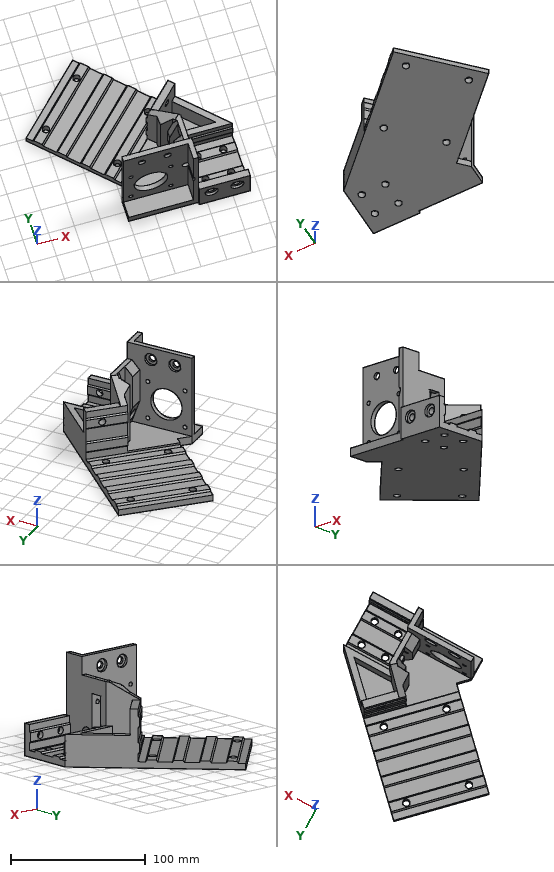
import cadquery as cq
import math

ROOT2 = math.sqrt(2)

seat_height = 5.0
rib_height = 1.5
floor_height = seat_height + rib_height
extrusion_size = 40.0
slot_pitch = extrusion_size / 2
low_wall_height = seat_height + extrusion_size / 2
high_wall_height = 45.4
side_wall_height = 58.9
motor_plate_height = 73.0

seat_rib_base_width = 8.5
seat_rib_top_width = 6.5
rail_rib_base_width = 9.1
rail_rib_top_width = 6.9
wall_rib_z = 15.3
seat_rib_spacing = 20.5
wall_rib_height = 1.0
screw_diameter = 5.4

motor_box_width = 54.15
motor_box_depth = 17.3
plate_thickness = 4.0
motor_x = -32.8
motor_z = 28.2
motor_bore = 26.0
motor_hole_pitch = 31.0
motor_hole_diameter = 3.2
upper_hole_x = (-39.8, -19.8)
upper_hole_inset = 10.0
upper_hole_z = motor_plate_height - upper_hole_inset
pin_x = -5.5
pin_z = 39.8
pin_head_diameter = 5.8
pin_diameter = 3.2

seat_length = 39.65
front_wall_thickness = 5.5
seat_front_y = -19.3
seat_inner_y = seat_front_y + front_wall_thickness
seat_back_y = seat_inner_y + extrusion_size
seat_mid_y = (seat_inner_y + seat_back_y) / 2
back_wall_thickness = 4.5
seat_hole_x = [seat_length - (slot + 0.5) * slot_pitch for slot in range(2)]
seat_hole_offset = 0.3
seat_hole_y = [seat_mid_y + seat_hole_offset + side * slot_pitch / 2 for side in (-1, 1)]
counterbore_diameter = 10.0
counterbore_depth = 2.0
clearance_diameter = 5.25

rail_length = 2 * extrusion_size
rail_width = 73.54
rail_face_u = -44.79
rail_outer_v = (seat_length + seat_back_y) / ROOT2
rail_inner_v = rail_outer_v - rail_width
rail_start_u = rail_face_u - rail_length
end_wall_thickness = 6.0
rail_hole_spacing = 48.4
rail_hole_v = [(rail_outer_v + rail_inner_v + side * rail_hole_spacing) / 2 for side in (-1, 1)]
outer_wall_thickness = 5.0

web_outer_sum = 27.2
web_inner_sum = 19.8
slope_start_u = -21.3
block_x = -16.1
block_y = 26.5
pad_reach = 6.6
near_pad_y = (0.0, 11.5)
far_pad_y = (21.0, block_y)
near_pad_top_slope = 7.0
pad_slope_height = 19.0
window_z = (20.7, 46.8)
cable_hole_y = 5.4
cable_hole_diameter = 10.0
cable_hole_z = 15.0
side_screw_y = 16.1
side_hole_z = 15.5


def box(x0, x1, y0, y1, z0, z1):
    return cq.Workplane("XY").box(x1 - x0, y1 - y0, z1 - z0, centered=False).translate((x0, y0, z0))


def prism(points, height):
    return cq.Workplane("XY").polyline(points).close().extrude(height)


def from_rail(shape):
    """Turn a shape drawn with U as X and V as Y into the part's axes."""
    return shape.rotate((0, 0, 0), (0, 0, 1), -45)


def rail_point(u, v):
    return ((u + v) / ROOT2, (v - u) / ROOT2)


def hole_along_x(diameter, x0, x1, y, z):
    return cq.Workplane("YZ", origin=(x0, y, z)).circle(diameter / 2).extrude(x1 - x0)


def hole_along_y(diameter, x, z, y0, y1):
    return cq.Workplane("XZ", origin=(x, y0, z)).circle(diameter / 2).extrude(y0 - y1)


def hole_along_z(diameter, x, y):
    return cq.Workplane("XY").center(x, y).circle(diameter / 2).extrude(floor_height)


def rib_outline(height, base_width, top_width):
    """Trapezoid section of a rib: base on the first axis, rising along the second."""
    half_base = base_width / 2
    half_top = top_width / 2
    return [(-half_base, 0), (half_base, 0), (half_top, height), (-half_top, height)]


seat_rib = rib_outline(rib_height, seat_rib_base_width, seat_rib_top_width)
rail_rib = rib_outline(rib_height, rail_rib_base_width, rail_rib_top_width)
wall_rib = rib_outline(wall_rib_height, rail_rib_base_width, rail_rib_top_width)


def make_base():
    notch_x = (ROOT2 * rail_inner_v - motor_box_width) / 2
    outline = [
        (-motor_box_width, -motor_box_depth),
        (0, -motor_box_depth),
        (0, seat_back_y),
        (seat_length, seat_back_y),
        rail_point(rail_face_u, rail_outer_v),
        rail_point(rail_face_u, rail_inner_v),
        (notch_x, notch_x + motor_box_width),
        (-motor_box_width, 0),
    ]
    base = prism(outline, floor_height)
    straight_seat = box(0, seat_length, seat_front_y, seat_back_y, 0, seat_height)
    rail = from_rail(box(rail_start_u, rail_face_u, rail_inner_v, rail_outer_v, 0, seat_height))
    return base.union(straight_seat).union(rail)


def make_rail_ribs():
    ribs = cq.Workplane("XY")
    for slot in range(4):
        u = rail_face_u - (slot + 0.5) * slot_pitch
        rib = cq.Workplane("XZ", origin=(u, rail_outer_v, seat_height)).polyline(rail_rib)
        ribs = ribs.add(from_rail(rib.close().extrude(rail_width)))
    return ribs.combine()


def make_end_wall():
    """Wall across the end of the rail, with ribs for the extrusion's end slots."""
    wall_inner_v = web_inner_sum / ROOT2
    wall = box(rail_face_u, rail_face_u + end_wall_thickness, wall_inner_v, rail_outer_v, 0, high_wall_height)
    for slot in range(2):
        z = wall_rib_z + slot * slot_pitch
        profile = [(rail_face_u - rise, z + along) for along, rise in wall_rib]
        rib = cq.Workplane("XZ", origin=(0, rail_outer_v, 0)).polyline(profile).close()
        wall = wall.union(rib.extrude(rail_outer_v - wall_inner_v))
    hole_z = wall_rib_z + slot_pitch
    hole_start = rail_face_u - wall_rib_height
    hole_end = rail_face_u + end_wall_thickness
    wall = wall.cut(hole_along_x(screw_diameter, hole_start, hole_end, rail_hole_v[1], hole_z))
    return from_rail(wall)


def make_seat_walls():
    """Front and back walls of the straight seat and the wall along the outer diagonal."""
    front = box(0, seat_length, seat_front_y, seat_inner_y, 0, low_wall_height)
    pocket_y = seat_back_y + back_wall_thickness
    rim = [
        (0, seat_back_y),
        (seat_length, seat_back_y),
        rail_point(rail_face_u + end_wall_thickness, rail_outer_v),
        rail_point(rail_face_u + end_wall_thickness, rail_outer_v - outer_wall_thickness),
        (ROOT2 * (rail_outer_v - outer_wall_thickness) - pocket_y, pocket_y),
        (web_outer_sum - pocket_y, pocket_y),
    ]
    return front.union(prism(rim, low_wall_height))


def make_seat_ribs():
    """Ribs along the straight seat: two on its floor and one on each of its walls."""
    ribs = cq.Workplane("XY")
    profiles = [[(seat_inner_y + rise, wall_rib_z + along) for along, rise in wall_rib],
                [(seat_back_y - rise, wall_rib_z + along) for along, rise in wall_rib]]
    for side in (-1, 1):
        y = seat_mid_y + side * seat_rib_spacing / 2
        profiles.append([(y + along, seat_height + rise) for along, rise in seat_rib])
    for profile in profiles:
        ribs = ribs.add(cq.Workplane("YZ").polyline(profile).close().extrude(seat_length))
    return ribs.combine()


def make_pad(y_range, top_slope_height):
    """Pad on the inside of the side wall, tapering into it at the top and at the floor."""
    root_x = -plate_thickness
    tip_x = root_x - pad_reach
    profile = [
        (root_x, floor_height),
        (tip_x, floor_height + pad_slope_height),
        (tip_x, side_wall_height - top_slope_height),
        (root_x, side_wall_height),
    ]
    y0, y1 = y_range
    return cq.Workplane("XZ", origin=(0, y0, 0)).polyline(profile).close().extrude(y0 - y1)


def make_side_wall():
    """Side wall behind the motor plate and the diagonal web that joins it to the end wall."""
    inner_x = -plate_thickness
    end_sum = ROOT2 * rail_face_u
    outline = [
        (0, 0),
        (0, web_outer_sum),
        ((web_outer_sum + end_sum) / 2, (web_outer_sum - end_sum) / 2),
        ((web_inner_sum + end_sum) / 2, (web_inner_sum - end_sum) / 2),
        (block_x, web_inner_sum - block_x),
        (block_x, block_y),
        (web_inner_sum - block_y, block_y),
        (inner_x, web_inner_sum - inner_x),
        (inner_x, 0),
    ]
    wall = prism(outline, side_wall_height)
    slope = cq.Workplane("XZ", origin=(0, rail_outer_v, 0)).polyline([
        (slope_start_u, side_wall_height),
        (rail_face_u, high_wall_height),
        (rail_face_u, side_wall_height),
    ]).close().extrude(rail_outer_v)
    wall = wall.cut(from_rail(slope))
    wall = wall.union(make_pad(near_pad_y, near_pad_top_slope))
    return wall.union(make_pad(far_pad_y, pad_slope_height))


def cut_side_wall_openings(part):
    reach = -plate_thickness - pad_reach
    part = part.cut(box(-plate_thickness, 0, near_pad_y[1], far_pad_y[0], *window_z))
    part = part.cut(hole_along_x(cable_hole_diameter, reach, 0, cable_hole_y, cable_hole_z))
    return part.cut(hole_along_x(screw_diameter, reach, 0, side_screw_y, side_hole_z))


def make_motor_plate():
    plate = box(-motor_box_width, 0, -plate_thickness, 0, 0, motor_plate_height)
    return plate.union(box(-plate_thickness, 0, -motor_box_depth, 0, 0, motor_plate_height))


def cut_motor_holes(part):
    part = part.cut(hole_along_y(motor_bore, motor_x, motor_z, -plate_thickness, 0))
    for side_x in (-1, 1):
        for side_z in (-1, 1):
            x = motor_x + side_x * motor_hole_pitch / 2
            z = motor_z + side_z * motor_hole_pitch / 2
            part = part.cut(hole_along_y(motor_hole_diameter, x, z, -plate_thickness, 0))
    for x in upper_hole_x:
        part = part.cut(hole_along_y(screw_diameter, x, upper_hole_z, -plate_thickness, 0))
        part = part.cut(hole_along_y(counterbore_diameter, x, upper_hole_z, -counterbore_depth, 0))
    part = part.cut(hole_along_y(pin_head_diameter, pin_x, pin_z, -motor_box_depth, 0))
    return part.cut(hole_along_y(pin_diameter, pin_x, pin_z, 0, near_pad_y[1]))


def cut_extrusion_screw_holes(part):
    for u in (rail_face_u - 0.5 * slot_pitch, rail_face_u - 3.5 * slot_pitch):
        for v in rail_hole_v:
            part = part.cut(hole_along_z(screw_diameter, *rail_point(u, v)))
    for x in seat_hole_x:
        for y in seat_hole_y:
            part = part.cut(hole_along_z(screw_diameter, x, y))
        rib_tip_y = seat_inner_y + wall_rib_height
        part = part.cut(hole_along_y(clearance_diameter, x, side_hole_z, seat_front_y, rib_tip_y))
        counterbore_y = seat_front_y + counterbore_depth
        part = part.cut(hole_along_y(counterbore_diameter, x, side_hole_z, seat_front_y, counterbore_y))
    return part


result = make_base()
for feature in (make_rail_ribs(), make_end_wall(), make_seat_walls(), make_seat_ribs(),
                make_side_wall(), make_motor_plate()):
    result = result.union(feature)
result = cut_side_wall_openings(result)
result = cut_motor_holes(result)
result = cut_extrusion_screw_holes(result)